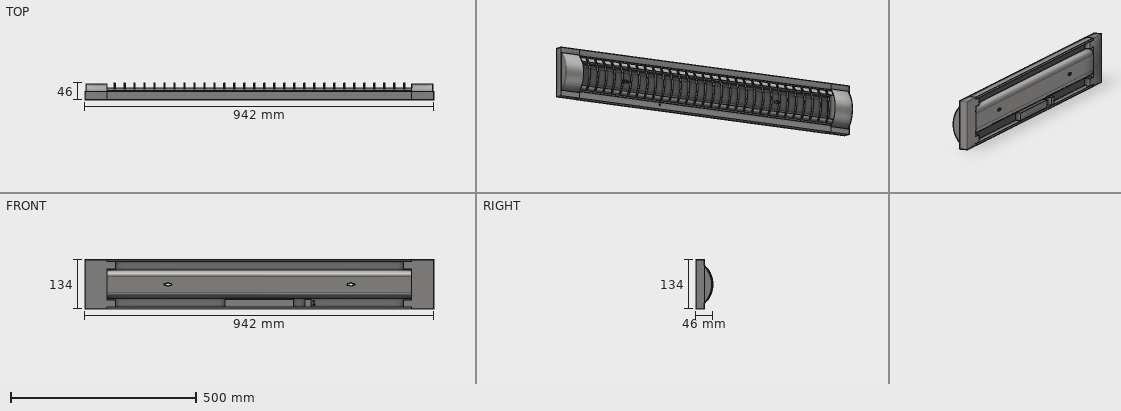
import cadquery as cq
import math

length = 942.0
height = 134.0
depth = 46.0
tray_depth = 23.0

cap_length = 60.0
tab_length = 23.0
tab_inner_z = 41.0
dome_half_height = 52.0
dome_top = 43.0
dome_inset = 3.0
edge_round = 1.4

sheet = 6.0
ridge_flat_half = 22.0
ridge_radius = tray_depth - sheet
housing_length = length - 2 * cap_length
rim_inner_z = height / 2 - sheet
flange_y = tray_depth - sheet
ridge_half = ridge_flat_half + ridge_radius

rail_diameter = 27.0
rail_axis_y = 19.0
rail_inner_z = ridge_half - sheet
rail_step_y = 25.0
rail_step_z = 49.0

wire_count = 30
wire_span = 782.0
wire_diameter = 3.9
wire_bend_radius = 67.0
wire_end_z = 41.0

keyhole_x = 247.0
keyhole_diameter = 8.5
keyhole_slot_length = 20.0
keyhole_slot_width = 4.2

box_top_z = -40.5
box_front_y = 2.0
long_box_x = -93.0
long_box_length = 186.0
short_box_x = 122.0
short_box_length = 17.0

small_hole_diameter = 4.2
small_hole_x = 147.0
small_hole_zs = (-45.0, -55.0)


def block(x_start, x_end, y_start, y_end, z_start, z_end):
    """Box between two opposite corners."""
    size = (x_end - x_start, y_end - y_start, z_end - z_start)
    return cq.Workplane("XY").box(*size, centered=False).translate((x_start, y_start, z_start))


def housing_profile():
    """Sketch plane at the left end of the housing, with Y and Z as its axes."""
    return cq.Workplane("YZ", origin=(-housing_length / 2, 0, 0))


def make_cap():
    """Left end cap: plate, domed back and two tabs that enter the housing rims."""
    outer_x = -length / 2
    inner_x = outer_x + cap_length
    plate = block(outer_x, inner_x, 0, tray_depth, -height / 2, height / 2)
    plate = plate.edges("(<X or <Y) exc (>X or >Y)").fillet(edge_round)

    dome = (
        cq.Workplane("YZ", origin=(outer_x + dome_inset, 0, 0))
        .moveTo(tray_depth, -dome_half_height)
        .threePointArc((dome_top, 0), (tray_depth, dome_half_height))
        .close()
        .extrude(cap_length - dome_inset)
    )
    dome = dome.edges("<X and (not <Y)").fillet(edge_round)
    cap = plate.union(dome)
    tab = block(inner_x, inner_x + tab_length, 0, flange_y, tab_inner_z, rim_inner_z)
    return cap.union(tab).union(tab.mirror("XY"))


def make_sheet():
    """Folded sheet: rims and flanges on both sides of a hollow, round-shouldered ridge."""
    shoulder = math.sqrt(0.5)
    inner_radius = ridge_radius - sheet
    back_plate = (
        housing_profile()
        .moveTo(0, -height / 2)
        .lineTo(tray_depth, -height / 2)
        .lineTo(tray_depth, height / 2)
        .lineTo(0, height / 2)
        .lineTo(0, rim_inner_z)
        .lineTo(flange_y, rim_inner_z)
        .lineTo(flange_y, -rim_inner_z)
        .lineTo(0, -rim_inner_z)
        .close()
        .extrude(housing_length)
    )

    def ridge(radius):
        """Flat-topped bar with rounded shoulders that ends at the back of the sheet."""
        front_y = ridge_radius - radius
        side_z = ridge_flat_half + radius
        mid_y = ridge_radius - radius * shoulder
        mid_z = ridge_flat_half + radius * shoulder
        return (
            housing_profile()
            .moveTo(tray_depth, -side_z)
            .lineTo(ridge_radius, -side_z)
            .threePointArc((mid_y, -mid_z), (front_y, -ridge_flat_half))
            .lineTo(front_y, ridge_flat_half)
            .threePointArc((mid_y, mid_z), (ridge_radius, side_z))
            .lineTo(tray_depth, side_z)
            .close()
            .extrude(housing_length)
        )

    return back_plate.union(ridge(ridge_radius)).cut(ridge(inner_radius))


def make_rail():
    """Upper back rail: quarter-round bar standing on a low step."""
    bar = (
        housing_profile()
        .center(rail_axis_y, rail_inner_z)
        .circle(rail_diameter / 2)
        .extrude(housing_length)
    )
    half = housing_length / 2
    keep = block(-half, half, flange_y, depth, rail_inner_z, height / 2)
    keep = keep.cut(block(-half, half, 0, tray_depth, ridge_half, height / 2))
    step = block(-half, half, tray_depth, rail_step_y, rail_inner_z, rail_step_z)
    return bar.intersect(keep).union(step)


def make_wire(x):
    """One bowed guard wire whose ends sink into the rails."""
    apex_y = depth - wire_diameter / 2
    end_y = apex_y - wire_bend_radius + math.sqrt(wire_bend_radius**2 - wire_end_z**2)
    path = (
        cq.Workplane("YZ", origin=(x, 0, 0))
        .moveTo(end_y, -wire_end_z)
        .threePointArc((apex_y, 0), (end_y, wire_end_z))
    )
    start = cq.Plane(
        origin=(x, end_y, -wire_end_z),
        xDir=(1, 0, 0),
        normal=path.val().tangentAt(0).toTuple(),
    )
    return cq.Workplane(start).circle(wire_diameter / 2).sweep(path)


def make_keyhole(x):
    """Cutter for a round hole crossed by a narrow slot along X."""
    base = cq.Workplane("XZ", origin=(x, 0, 0))
    hole = base.circle(keyhole_diameter / 2).extrude(-sheet)
    slot = base.slot2D(keyhole_slot_length, keyhole_slot_width).extrude(-sheet)
    return hole.union(slot)


def make_small_hole(z):
    """Cutter for one small hole, as deep as the flange is thick."""
    base = cq.Workplane("XZ", origin=(small_hole_x, flange_y, z))
    return base.circle(small_hole_diameter / 2).extrude(-sheet)


def make_flange_box(x_start, x_length):
    """Box that fills the lower flange channel to just behind the front face."""
    return block(x_start, x_start + x_length, box_front_y, flange_y, -rim_inner_z, box_top_z)


def make_housing():
    """Sheet, rails, boxes and guard wires as one body."""
    body = make_sheet()
    rail = make_rail()
    body = body.union(rail).union(rail.mirror("XY"))
    body = body.union(make_flange_box(long_box_x, long_box_length))
    body = body.union(make_flange_box(short_box_x, short_box_length))
    for x in (-keyhole_x, keyhole_x):
        body = body.cut(make_keyhole(x))
    for z in small_hole_zs:
        body = body.cut(make_small_hole(z))
    wire_pitch = wire_span / (wire_count - 1)
    for index in range(wire_count):
        body = body.union(make_wire(index * wire_pitch - wire_span / 2))
    return body


housing = make_housing()
left_cap = make_cap()
right_cap = left_cap.mirror("YZ")

result = cq.Compound.makeCompound([housing.val(), left_cap.val(), right_cap.val()])